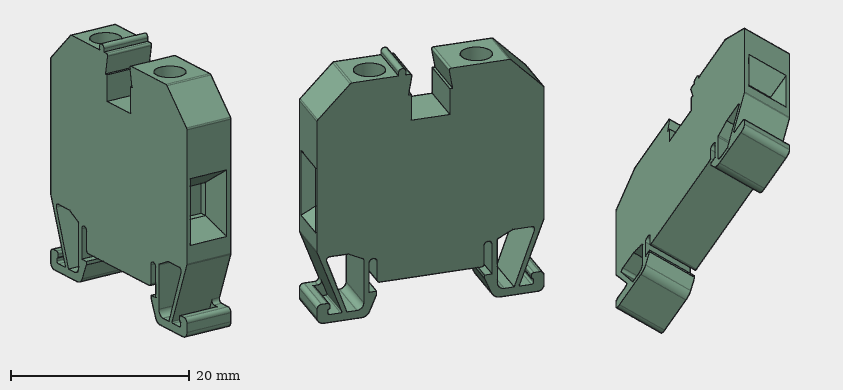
import cadquery as cq
import math


LENGTH = 27.0
THICKNESS = 6.0
HEIGHT = 30.1
HALF_LENGTH = LENGTH / 2
RIDGE_WIDTH = 0.87
RIDGE_RADIUS = RIDGE_WIDTH / 2
RIDGE_HEIGHT = 0.85
RIDGE_X = -3.37
TOP_Z = HEIGHT - RIDGE_HEIGHT
SHOULDER = 4.03
SHOULDER_RADIUS = 0.3
BOTTOM_Z = 4.05
BOTTOM_RADIUS = 0.3
SIDE_BOTTOM_Z = 8.9
SIDE_BOTTOM_RADIUS = 0.3

NOTCH_HALF_WIDTH = 2.3
NOTCH_FLOOR_Z = 23.55
NOTCH_STEP_Z = 26.73
NOTCH_STEP_DEPTH = 0.33
NOTCH_MOUTH_HALF_WIDTH = 2.17
NOTCH_LIP_RADIUS = 0.25

BASE_THICKNESS = 1.0
LEG_FOOT_X = -10.5
LEG_FOOT_RADIUS = 0.12
HOOK_TOP_Z = 2.4
HOOK_TIP_X = -11.98
HOOK_TIP_RADIUS = 0.3
HOOK_THROAT_X = -12.22
HOOK_THROAT_TOP_Z = 1.57
HOOK_LIP_BOTTOM_Z = 1.75
HOOK_THROAT_RADIUS = 0.25
HOOK_UPPER_RADIUS = 0.55
HOOK_LOWER_RADIUS = 0.78
BARB_X = -6.4
BARB_TOP_Z = 3.0
BARB_SLOPE_Z = 2.6
BARB_FOOT_X = -7.52
BARB_FOOT_RADIUS = 1.08

SLOT_OUTER_X = -7.3
SLOT_INNER_X = -6.35
SLOT_TOP_Z = 7.1
SLOT_RADIUS = 0.45

WINDOW_INNER_X = -7.95
WINDOW_TOP_Z = 8.13
WINDOW_BEND_X = -9.75
WINDOW_INNER_TOP_Z = 7.22
WINDOW_TOP_LEFT_X = -12.52
WINDOW_FOOT_X = -9.93
WINDOW_TOP_RADIUS = 0.35
WINDOW_SIDE_RADIUS = 0.18
WINDOW_BASE_RADIUS = 0.8

WEB_THICKNESS = 1.02
WEB_RADIUS = 0.42

SCREW_DIAMETER = 3.6
SCREW_X = -6.35
SCREW_DEPTH = 6.02
ENTRY_Y = -0.4
MOUTH_Y = -0.05
MOUTH_WIDTH = 4.95
MOUTH_HEIGHT = 8.0
FUNNEL_Z = 15.15
FUNNEL_DEPTH = 2.4
PASSAGE_WIDTH = 3.15
PASSAGE_HEIGHT = 3.97
PASSAGE_DEPTH = 0.87


def rounded_outline(corners):
    """Closed XZ outline from (x, z, radius) corners; radius 0 keeps a corner sharp."""
    outline = None
    for index, (x, z, radius) in enumerate(corners):
        before = corners[index - 1]
        after = corners[(index + 1) % len(corners)]
        corner = cq.Vector(x, z)
        to_before = (cq.Vector(before[0], before[1]) - corner).normalized()
        to_after = (cq.Vector(after[0], after[1]) - corner).normalized()
        half_angle = to_before.getAngle(to_after) / 2
        setback = radius / math.tan(half_angle)
        start = corner + to_before * setback
        if outline is None:
            outline = cq.Workplane("XZ").moveTo(start.x, start.y)
        else:
            outline = outline.lineTo(start.x, start.y)
        if radius > 0:
            bisector = (to_before + to_after).normalized()
            middle = corner + bisector * (radius / math.sin(half_angle) - radius)
            end = corner + to_after * setback
            outline = outline.threePointArc((middle.x, middle.y), (end.x, end.y))
    return outline.close()


def leg_outer_x(z):
    """X of the sloping outer face of the leg at height z."""
    fraction = (SIDE_BOTTOM_Z - z) / (SIDE_BOTTOM_Z - BASE_THICKNESS)
    return -HALF_LENGTH + fraction * (LEG_FOOT_X + HALF_LENGTH)


def make_half_block():
    corners = [
        (0, NOTCH_FLOOR_Z, 0),
        (-NOTCH_HALF_WIDTH, NOTCH_FLOOR_Z, 0),
        (-NOTCH_HALF_WIDTH, NOTCH_STEP_Z, 0),
        (-NOTCH_HALF_WIDTH - NOTCH_STEP_DEPTH, NOTCH_STEP_Z, 0),
        (-NOTCH_MOUTH_HALF_WIDTH, TOP_Z, NOTCH_LIP_RADIUS),
        (-HALF_LENGTH + SHOULDER, TOP_Z, SHOULDER_RADIUS),
        (-HALF_LENGTH, TOP_Z - SHOULDER, SHOULDER_RADIUS),
        (-HALF_LENGTH, SIDE_BOTTOM_Z, SIDE_BOTTOM_RADIUS),
        (LEG_FOOT_X, BASE_THICKNESS, LEG_FOOT_RADIUS),
        (HOOK_THROAT_X, BASE_THICKNESS, HOOK_THROAT_RADIUS),
        (HOOK_THROAT_X, HOOK_THROAT_TOP_Z, 0),
        (HOOK_TIP_X, HOOK_LIP_BOTTOM_Z, 0),
        (HOOK_TIP_X, HOOK_TOP_Z, HOOK_TIP_RADIUS),
        (-HALF_LENGTH, HOOK_TOP_Z, HOOK_UPPER_RADIUS),
        (-HALF_LENGTH, 0, HOOK_LOWER_RADIUS),
        (BARB_FOOT_X, 0, BARB_FOOT_RADIUS),
        (BARB_X, BARB_SLOPE_Z, 0),
        (BARB_X, BARB_TOP_Z, 0),
        (SLOT_OUTER_X, BARB_TOP_Z, 0),
        (SLOT_OUTER_X, SLOT_TOP_Z, SLOT_RADIUS),
        (SLOT_INNER_X, SLOT_TOP_Z, SLOT_RADIUS),
        (SLOT_INNER_X, BOTTOM_Z, BOTTOM_RADIUS),
        (0, BOTTOM_Z, 0),
    ]
    return rounded_outline(corners).extrude(THICKNESS / 2, both=True)


def make_window():
    corners = [
        (WINDOW_TOP_LEFT_X, WINDOW_TOP_Z, WINDOW_TOP_RADIUS),
        (WINDOW_BEND_X, WINDOW_TOP_Z, 0),
        (WINDOW_INNER_X, WINDOW_INNER_TOP_Z, WINDOW_SIDE_RADIUS),
        (WINDOW_INNER_X, BASE_THICKNESS, WINDOW_BASE_RADIUS),
        (WINDOW_FOOT_X, BASE_THICKNESS, 0),
    ]
    return rounded_outline(corners).extrude(THICKNESS / 2, both=True)


def make_web():
    """Thin wall between hook and leg, its top filleted into the leg face."""
    leg_top_z = HOOK_TOP_Z + 2 * WEB_RADIUS
    web_left_x = (HOOK_THROAT_X - HALF_LENGTH) / 2
    web_bottom_z = BASE_THICKNESS / 2
    corners = [
        (web_left_x, HOOK_TOP_Z, 0),
        (leg_outer_x(HOOK_TOP_Z), HOOK_TOP_Z, WEB_RADIUS),
        (leg_outer_x(leg_top_z), leg_top_z, 0),
        (LEG_FOOT_X, BASE_THICKNESS, 0),
        (LEG_FOOT_X, web_bottom_z, 0),
        (web_left_x, web_bottom_z, 0),
    ]
    web = rounded_outline(corners).extrude(WEB_THICKNESS)
    return web.translate((0, THICKNESS / 2, 0))


def make_screw_hole():
    return (
        cq.Workplane("XY", origin=(SCREW_X, ENTRY_Y, TOP_Z - SCREW_DEPTH))
        .circle(SCREW_DIAMETER / 2)
        .extrude(SCREW_DEPTH)
    )


def make_wire_funnel():
    funnel = (
        cq.Workplane("YZ", origin=(-HALF_LENGTH, 0, FUNNEL_Z))
        .center(MOUTH_Y, 0)
        .rect(MOUTH_WIDTH, MOUTH_HEIGHT)
        .workplane(offset=FUNNEL_DEPTH)
        .center(ENTRY_Y - MOUTH_Y, 0)
        .rect(PASSAGE_WIDTH, PASSAGE_HEIGHT)
        .loft(ruled=True)
    )
    passage = (
        cq.Workplane("YZ", origin=(-HALF_LENGTH + FUNNEL_DEPTH, ENTRY_Y, FUNNEL_Z))
        .rect(PASSAGE_WIDTH, PASSAGE_HEIGHT)
        .extrude(PASSAGE_DEPTH)
    )
    return funnel.union(passage)


def make_ridge():
    """Round-topped ridge across the thickness, sunk slightly into the block."""
    ridge_bottom_z = TOP_Z - RIDGE_RADIUS
    centre_z = HEIGHT - RIDGE_RADIUS
    return (
        cq.Workplane("XZ")
        .moveTo(RIDGE_X - RIDGE_RADIUS, ridge_bottom_z)
        .lineTo(RIDGE_X - RIDGE_RADIUS, centre_z)
        .threePointArc((RIDGE_X, HEIGHT), (RIDGE_X + RIDGE_RADIUS, centre_z))
        .lineTo(RIDGE_X + RIDGE_RADIUS, ridge_bottom_z)
        .close()
        .extrude(THICKNESS / 2, both=True)
    )


left_half = make_half_block().union(make_web())
for cutter in (make_window(), make_screw_hole(), make_wire_funnel()):
    left_half = left_half.cut(cutter)

right_half = left_half.mirror("YZ")
result = left_half.union(right_half).union(make_ridge()).clean()